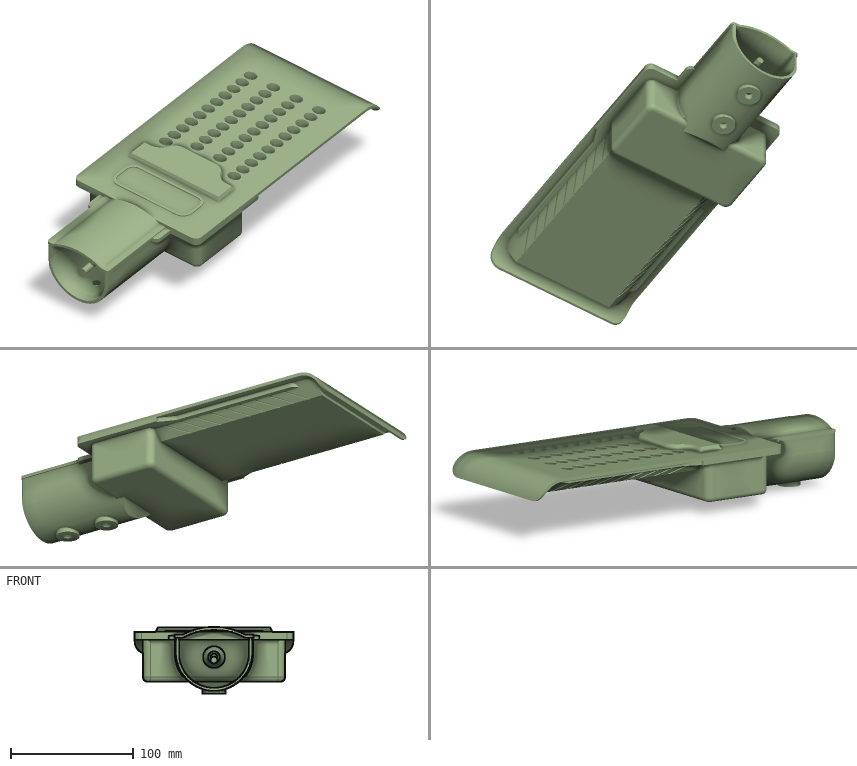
import cadquery as cq
import math


plate_width = 130.0
plate_half_width = plate_width / 2
plate_thickness = 6.7
plate_corner_radius = 5.7
sheet_thickness = 3.0
thick_part_front_y = 80.0
nose_start_y = 219.7
nose_tip_y = 242.5
nose_drop = 18.0
nose_corner_radius = 10.8
nose_tip_thickness = 2.0

cover_half_width_front = 58.0
cover_half_width_rear = 63.0
cover_front_y = 214.3
cover_rear_y = 2.0
cover_widening_start_y = 95.5
cover_widening_end_y = 81.7
cover_front_radius = 8.0
cover_rear_radius = 3.8

dome_radius = 4.8
dome_half_length = 6.0
outer_column_x = 36.0
column_count = 4
first_row_y = 195.3
last_row_y = 85.0
row_count = 11

pad_half_width = 47.7
pad_rear_y = 50.0
pad_side_y = 71.2
pad_arch_y = 86.0
pad_arch_half_width = 17.5
pad_arch_foot_x = 40.5
pad_height = 3.8
pad_side_inset = 2.0

frame_half_width = 40.0
frame_rear_y = 15.3
frame_front_y = 45.5
frame_radius = 9.5
frame_line_width = 2.2
frame_height = 1.0

sink_half_width = 57.2
sink_front_y = 230.5
sink_bottom_z = -15.0
sink_drop = -sheet_thickness - sink_bottom_z
sink_groove_count = 9
sink_groove_first_y = 190.2
sink_groove_last_y = 73.8
sink_groove_width = 1.3
sink_groove_depth = 1.0
sink_groove_run_y = 27.7

box_half_width = 58.2
box_front_y = 71.2
box_rear_y = 9.5
box_bottom_z = -41.0
box_corner_radius = 6.0
box_bottom_fillet = 4.0

socket_rear_y = -75.5
socket_front_y = 11.0
socket_half_width = 31.2
socket_wall = 2.5
arch_half_width = 25.5
arch_top_z = 4.0
shoulder_z = -2.2
round_start_z = -19.0
socket_bottom_z = -48.3
cap_half_width = 32.0
cap_bottom_z = -4.8
socket_corner_radius = 2.2
neck_flare = 1.0
neck_length = 2.0

flange_half_width = 37.2
flange_rear_y = -17.5
flange_top_z = -3.2
flange_corner_radius = 4.8

boss_radius = 9.5
boss_bottom_z = -51.0
boss_hole_diameter = 6.7
boss_ys = (-12.0, -50.2)

gland_z = -20.7
gland_base_radius = 9.0
gland_nose_radius = 4.8
gland_length = 6.5
cable_radius = 3.0
cable_end_y = -67.7
cable_end_z = -23.2


def centred_block(half_width, y0, y1, z0, z1):
    """Axis-aligned block centred on X = 0."""
    solid = cq.Workplane("XY").box(2 * half_width, y1 - y0, z1 - z0, centered=False)
    return solid.translate((-half_width, y0, z0))


def along_y(profile, y_front, y_rear):
    """Extrude an XZ profile from its front end back to its rear end."""
    return profile.extrude(y_front - y_rear).translate((0, y_front, 0))



def make_cover_panel():
    """Panel that fills the opening of the plate, wider at its rear."""
    outline = [
        (-cover_half_width_front, cover_front_y),
        (cover_half_width_front, cover_front_y),
        (cover_half_width_front, cover_widening_start_y),
        (cover_half_width_rear, cover_widening_end_y),
        (cover_half_width_rear, cover_rear_y),
        (-cover_half_width_rear, cover_rear_y),
        (-cover_half_width_rear, cover_widening_end_y),
        (-cover_half_width_front, cover_widening_start_y),
    ]
    panel = cq.Workplane("XY").polyline(outline).close().extrude(-plate_thickness)
    panel = panel.edges("|Z and >Y").fillet(cover_front_radius)
    return panel.edges("|Z and <Y").fillet(cover_rear_radius)


def make_dome(x, y):
    """Upper half of a spheroid whose long axis lies along X."""
    return (
        cq.Workplane("XY")
        .ellipseArc(dome_half_length, dome_radius, 0, 180, startAtCurrent=False)
        .close()
        .revolve(180, (0, 0, 0), (1, 0, 0))
        .translate((x, y, 0))
    )


def add_domes(body):
    column_pitch = 2 * outer_column_x / (column_count - 1)
    row_pitch = (first_row_y - last_row_y) / (row_count - 1)
    for column in range(column_count):
        is_outer = column in (0, column_count - 1)
        rows = row_count if is_outer else row_count - 1
        for row in range(rows):
            dome_x = -outer_column_x + column * column_pitch
            dome_y = first_row_y - row * row_pitch
            body = body.union(make_dome(dome_x, dome_y))
    return body


def make_pad():
    """Tapered pad whose front side rises to a central arch through S-shaped flanks."""
    mid_x = (pad_arch_half_width + pad_arch_foot_x) / 2
    mid_y = (pad_side_y + pad_arch_y) / 2
    taper = math.degrees(math.atan(pad_side_inset / pad_height))
    return (
        cq.Workplane("XY")
        .moveTo(-pad_half_width, pad_rear_y)
        .lineTo(-pad_half_width, pad_side_y)
        .lineTo(-pad_arch_foot_x, pad_side_y)
        .tangentArcPoint((-mid_x, mid_y), relative=False)
        .tangentArcPoint((-pad_arch_half_width, pad_arch_y), relative=False)
        .lineTo(pad_arch_half_width, pad_arch_y)
        .tangentArcPoint((mid_x, mid_y), relative=False)
        .tangentArcPoint((pad_arch_foot_x, pad_side_y), relative=False)
        .lineTo(pad_half_width, pad_side_y)
        .lineTo(pad_half_width, pad_rear_y)
        .close()
        .extrude(pad_height, taper=taper)
    )


def make_label_frame():
    outer = centred_block(frame_half_width, frame_rear_y, frame_front_y, 0, frame_height)
    outer = outer.edges("|Z").fillet(frame_radius)
    inner = centred_block(
        frame_half_width - frame_line_width,
        frame_rear_y + frame_line_width,
        frame_front_y - frame_line_width,
        0,
        frame_height,
    )
    inner = inner.edges("|Z").fillet(frame_radius - frame_line_width)
    return outer.cut(inner)


cover_panel = make_cover_panel()
cover = add_domes(cover_panel).union(make_pad()).union(make_label_frame())



def make_plate():
    """Thin sheet that is thickened towards its rear edge."""
    sheet = centred_block(plate_half_width, 0, nose_start_y, -sheet_thickness, 0)
    thick = centred_block(plate_half_width, 0, thick_part_front_y, -plate_thickness, 0)
    return sheet.union(thick).edges("|Z and <Y").fillet(plate_corner_radius)


def make_nose():
    """Sheet that curls down from the front of the plate, thinner and with rounded corners at its tip."""
    reach = nose_tip_y - nose_start_y
    radius = (reach**2 + nose_drop**2) / (2 * nose_drop)
    mean_thickness = (sheet_thickness + nose_tip_thickness) / 2
    sweep = math.asin(reach / radius)

    def arc_point(arc_radius, angle):
        return (
            nose_start_y + arc_radius * math.sin(angle),
            arc_radius * math.cos(angle) - radius,
        )

    curl = (
        cq.Workplane("YZ")
        .moveTo(nose_start_y, 0)
        .threePointArc(arc_point(radius, sweep / 2), arc_point(radius, sweep))
        .lineTo(*arc_point(radius - nose_tip_thickness, sweep))
        .threePointArc(arc_point(radius - mean_thickness, sweep / 2), (nose_start_y, -sheet_thickness))
        .close()
        .extrude(plate_half_width, both=True)
    )
    front = centred_block(plate_half_width, nose_start_y, nose_tip_y, -nose_drop, 0)
    return curl.intersect(front.edges("|Y and <Z").fillet(nose_corner_radius))


def make_sink_groove(y_top):
    """Skewed groove in the -X slope of the heat sink."""
    start = cq.Vector(-sink_half_width, y_top, -sheet_thickness)
    direction = cq.Vector(sink_drop, sink_groove_run_y, -sink_drop)
    normal = cq.Vector(-1, 0, -1)
    section = cq.Plane(origin=start, xDir=normal.cross(direction), normal=direction)
    return cq.Workplane(section).rect(sink_groove_width, 2 * sink_groove_depth).extrude(direction.Length)


def make_heat_sink():
    bottom_half_width = sink_half_width - sink_drop
    profile = cq.Workplane("XZ").polyline([
        (-sink_half_width, -sheet_thickness),
        (sink_half_width, -sheet_thickness),
        (bottom_half_width, sink_bottom_z),
        (-bottom_half_width, sink_bottom_z),
    ]).close()
    sink = along_y(profile, sink_front_y, box_front_y)
    pitch = (sink_groove_first_y - sink_groove_last_y) / (sink_groove_count - 1)
    for index in range(sink_groove_count):
        groove = make_sink_groove(sink_groove_first_y - index * pitch)
        sink = sink.cut(groove).cut(groove.mirror("YZ"))
    return sink


def make_driver_box():
    box = centred_block(box_half_width, box_rear_y, box_front_y, box_bottom_z, -plate_thickness)
    box = box.edges("|Z").fillet(box_corner_radius)
    return box.faces("<Z").edges().fillet(box_bottom_fillet)


def socket_profile(inset):
    """Socket section: arched roof, flat shoulders, straight sides and round floor."""
    half_width = socket_half_width - inset
    return (
        cq.Workplane("XZ")
        .moveTo(-half_width, round_start_z)
        .lineTo(-half_width, shoulder_z - inset)
        .lineTo(-arch_half_width, shoulder_z - inset)
        .threePointArc((0, arch_top_z - inset), (arch_half_width, shoulder_z - inset))
        .lineTo(half_width, shoulder_z - inset)
        .lineTo(half_width, round_start_z)
        .threePointArc((0, socket_bottom_z + inset), (-half_width, round_start_z))
        .close()
    )


def sloped_end(profile, floor_y, floor_z):
    """Socket prism whose floor end slopes forward and up at 45 degrees from the given floor point."""
    rise = box_bottom_z - floor_z
    prism = along_y(profile, floor_y + rise, socket_rear_y)
    side = cq.Workplane("YZ").polyline([
        (socket_rear_y, floor_z),
        (floor_y, floor_z),
        (floor_y + rise, box_bottom_z),
        (box_rear_y, box_bottom_z),
        (box_rear_y, -plate_thickness),
        (0, -plate_thickness),
        (0, arch_top_z),
        (socket_rear_y, arch_top_z),
    ]).close().extrude(socket_half_width, both=True)
    return prism.intersect(side)


def make_neck():
    """Flare that widens the socket where it meets the rear wall of the box."""
    taper = math.degrees(math.atan(neck_flare / neck_length))
    flare = socket_profile(-neck_flare).extrude(neck_length, taper=taper).translate((0, box_rear_y, 0))
    wall = centred_block(
        box_half_width,
        box_rear_y - neck_length,
        box_rear_y,
        box_bottom_z + box_bottom_fillet,
        -plate_thickness,
    )
    return flare.intersect(wall)


def make_socket_outside():
    body = sloped_end(socket_profile(0), socket_front_y, socket_bottom_z)
    plan = centred_block(socket_half_width, socket_rear_y, box_front_y, boss_bottom_z, arch_top_z)
    body = body.intersect(plan.edges("|Z and <Y").fillet(socket_corner_radius))
    cap = centred_block(cap_half_width, socket_rear_y, 0, cap_bottom_z, shoulder_z)
    cap = cap.edges("|Z").fillet(socket_corner_radius)
    flange = centred_block(flange_half_width, flange_rear_y, box_rear_y, -plate_thickness, flange_top_z)
    flange = flange.edges("|Z and <Y").fillet(flange_corner_radius)
    body = body.union(make_neck()).union(cap).union(flange)
    for boss_y in boss_ys:
        boss = cq.Workplane("XY").circle(boss_radius).extrude(round_start_z - boss_bottom_z)
        body = body.union(boss.translate((0, boss_y, boss_bottom_z)))
    return body


def make_socket_bore():
    floor_y = socket_front_y - socket_wall
    return sloped_end(socket_profile(socket_wall), floor_y, socket_bottom_z + socket_wall)


def make_boss_hole(boss_y):
    hole = cq.Workplane("XY").circle(boss_hole_diameter / 2).extrude(round_start_z - boss_bottom_z)
    return hole.translate((0, boss_y, boss_bottom_z))


housing = make_socket_outside().cut(make_socket_bore())
for boss_y in boss_ys:
    housing = housing.cut(make_boss_hole(boss_y))
for section in (make_driver_box(), make_plate(), make_nose(), make_heat_sink()):
    housing = housing.union(section)
housing = housing.cut(cover_panel)



def make_cable():
    """Conical gland on the rear wall of the box and the cable that runs back through the socket."""
    gland_end_y = box_rear_y - gland_length
    gland = cq.Workplane(cq.Solid.makeCone(
        gland_base_radius,
        gland_nose_radius,
        gland_length,
        pnt=cq.Vector(0, box_rear_y, gland_z),
        dir=cq.Vector(0, -1, 0),
    ))
    start = cq.Vector(0, gland_end_y + gland_length / 2, gland_z)
    run = cq.Vector(0, cable_end_y, cable_end_z) - start
    wire = cq.Workplane(cq.Solid.makeCylinder(cable_radius, run.Length, pnt=start, dir=run))
    return gland.union(wire)


cable = make_cable()

result = cq.Compound.makeCompound([
    *housing.solids().vals(),
    *cover.solids().vals(),
    *cable.solids().vals(),
])